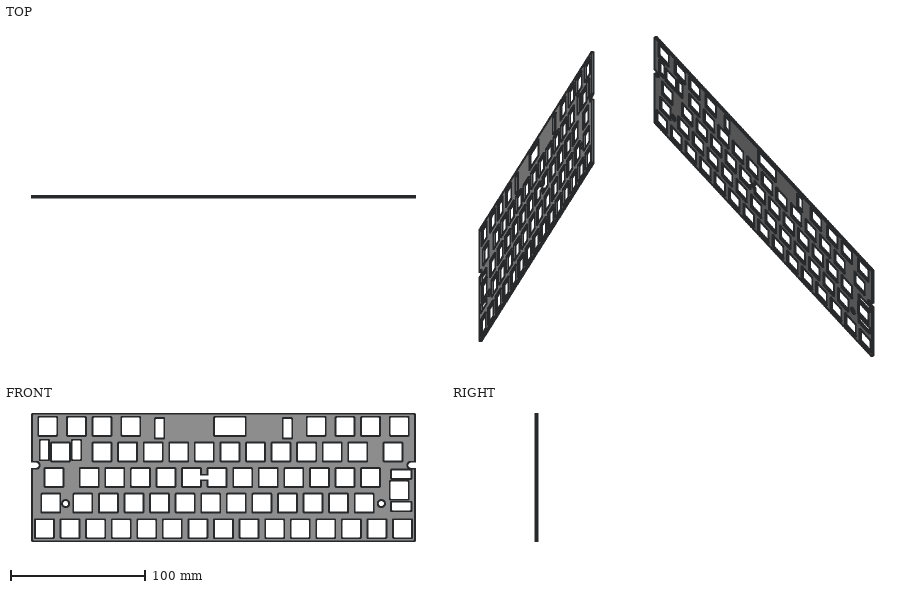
import cadquery as cq

LENGTH = 285.5
HEIGHT = 95.0
THICKNESS = 1.5
CORNER_RADIUS = 1.0

COLUMNS = 15
ROWS = 5
EDGE_TRIM = 0.17
PITCH = (LENGTH + 2 * EDGE_TRIM) / COLUMNS

SWITCH_SIZE = 14.0
SWITCH_RADIUS = 0.5

STABILISER_WIDTH = 6.8
STABILISER_LENGTH = 15.0
STABILISER_RADIUS = 0.5
STABILISER_SHIFT = 1.5
SHORT_STABILISER_REACH = 12.0
SPACE_STABILISER_REACH = 2.5 * PITCH

LINK_HEIGHT = 4.0

MOUNT_DIAMETER = 5.0
MOUNT_X = 117.5
MOUNT_Z = -19.5
NOTCH_Z = 9.0
NOTCH_WIDTH = 5.0
NOTCH_DEPTH = 5.7

SWITCH_COLUMNS = [
    [0.5 + key for key in range(COLUMNS)],
    [0.75] + [2.0 + key for key in range(12)],
    [0.875] + [2.25 + key for key in range(12)],
    [1.125] + [2.75 + key for key in range(11)] + [14.125],
    [0.625, 1.75, 2.75, 3.875] + [7.5, 8.0] + [11.125, 12.25, 13.25, 14.375],
]

HOME_ROW = 2
SHIFT_ROW = 3
SPACE_ROW = 4
LINK_COLUMN = 6.75
SHIFT_COLUMN = 1.125
SPACE_COLUMN = 7.5
ENTER_COLUMN = 14.375
ENTER_ROW = 1.5


def grid_x(column):
    """X of a position given in key units from the left end of the grid."""
    return (column - COLUMNS / 2) * PITCH


def grid_z(row):
    """Z of the centre of a row, row 0 at the bottom."""
    return (row - (ROWS - 1) / 2) * PITCH


def block(x, z, size_x, size_z, radius=0.0):
    """Block of the plate thickness centred at (x, z), with optionally rounded corners."""
    body = cq.Workplane("XY").box(size_x, THICKNESS, size_z)
    if radius > 0:
        body = body.edges("|Y").fillet(radius)
    return body.translate((x, 0, z))


def round_cutter(x, z, diameter):
    """Cylindrical cutter through the plate thickness."""
    cylinder = cq.Workplane("XZ").circle(diameter / 2).extrude(THICKNESS / 2, both=True)
    return cylinder.translate((x, 0, z))


def switch(column, row):
    """Square switch opening centred on a key."""
    return block(grid_x(column), grid_z(row), SWITCH_SIZE, SWITCH_SIZE, SWITCH_RADIUS)


def upright_stabilisers(column, row, reach, shift):
    """Pair of upright openings left and right of a horizontal key."""
    return [
        block(
            grid_x(column) + side * reach,
            grid_z(row) + shift,
            STABILISER_WIDTH,
            STABILISER_LENGTH,
            STABILISER_RADIUS,
        )
        for side in (-1, 1)
    ]


def enter_stabilisers():
    """Pair of lying openings above and below the vertical enter key."""
    return [
        block(
            grid_x(ENTER_COLUMN) + STABILISER_SHIFT,
            grid_z(ENTER_ROW) + side * SHORT_STABILISER_REACH,
            STABILISER_LENGTH,
            STABILISER_WIDTH,
            STABILISER_RADIUS,
        )
        for side in (-1, 1)
    ]


def edge_notch(side):
    """Round-ended notch that opens through one short edge (side -1 left, +1 right)."""
    end_x = side * (LENGTH / 2 - NOTCH_DEPTH + NOTCH_WIDTH / 2)
    straight = block(end_x + side * NOTCH_DEPTH / 2, NOTCH_Z, NOTCH_DEPTH, NOTCH_WIDTH)
    return straight.union(round_cutter(end_x, NOTCH_Z, NOTCH_WIDTH))


plate = block(0, 0, LENGTH, HEIGHT, CORNER_RADIUS)

cutters = [switch(column, row) for row, columns in enumerate(SWITCH_COLUMNS) for column in columns]
cutters.append(switch(ENTER_COLUMN, ENTER_ROW))
cutters.append(block(grid_x(LINK_COLUMN), grid_z(HOME_ROW), PITCH, LINK_HEIGHT))
cutters += upright_stabilisers(SHIFT_COLUMN, SHIFT_ROW, SHORT_STABILISER_REACH, STABILISER_SHIFT)
cutters += upright_stabilisers(SPACE_COLUMN, SPACE_ROW, SPACE_STABILISER_REACH, -STABILISER_SHIFT)
cutters += enter_stabilisers()
cutters += [round_cutter(side * MOUNT_X, MOUNT_Z, MOUNT_DIAMETER) for side in (-1, 1)]
cutters += [edge_notch(side) for side in (-1, 1)]

result = cq.Workplane(plate.val().cut(*[cutter.val() for cutter in cutters]).clean())